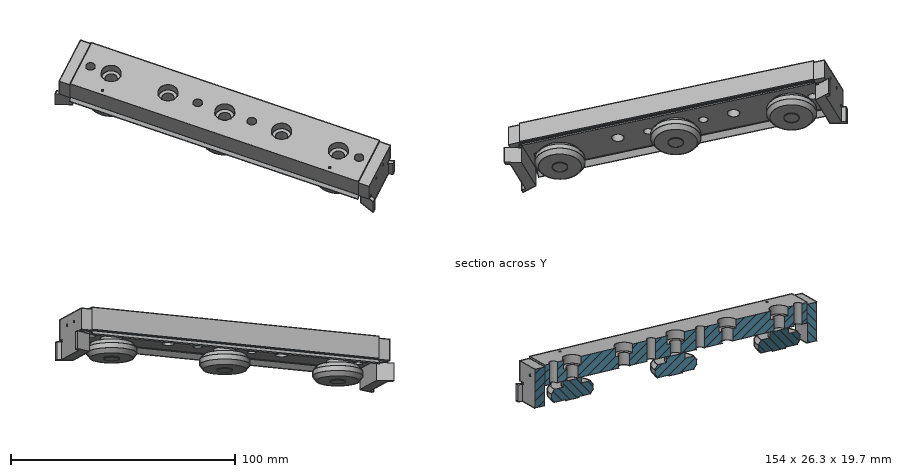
import cadquery as cq

overall_length = 154.0
overall_width = 26.3
overall_height = 19.7

rail_length = 139.5
rail_width = 24.6
rail_height = 10.2
wheel_pitch = 55.0
mount_hole_dia = 5.5
counterbore_dia = 9.0
counterbore_depth = 4.2
mount_hole_xs = [step * wheel_pitch / 2 for step in (-2, -1, 0, 1, 2)]
plain_hole_dia = 4.2
inner_hole_x = 13.1
outer_hole_x = 65.0
pinhole_dia = 1.0
pinhole_depth = 1.5
pinhole_y = -10.0

strip_root_inner_y = 10.5
strip_root_width = 1.0
strip_root_height = 0.5
lip_tip_size = 0.5

cap_face_inset = 2.0
cap_width = 24.6
cap_top_drop = 1.0
core_width = 19.0
slot_top = 10.6
slot_bottom = 11.5
ear_tip_inner_y = 10.5
ear_root_inner_y = 9.9
cap_hole_dia = 1.0
cap_hole_spacing = 7.9
cap_hole_drop = 5.2
cap_hole_depth = 1.5

wheel_dia = 22.5
wheel_face_dia = 19.2
wheel_top = 12.8
wheel_bottom = 19.2
rim_width = 2.3
hub_dia = 10.0
axle_end_dia = 7.0


def make_rail():
    """Block with five counterbored mounting holes, four plain holes and two blind pinholes."""
    rail = cq.Workplane("XY").box(rail_length, rail_width, rail_height, centered=(True, True, False))
    rail = rail.translate((0, 0, -rail_height))
    top = cq.Workplane("XY")
    mount_points = [(x, 0) for x in mount_hole_xs]
    plain_points = [(x, 0) for x in (-outer_hole_x, -inner_hole_x, inner_hole_x, outer_hole_x)]
    pinhole_points = [(-wheel_pitch, pinhole_y), (wheel_pitch, pinhole_y)]
    rail = rail.cut(top.pushPoints(mount_points).circle(mount_hole_dia / 2).extrude(-rail_height))
    rail = rail.cut(top.pushPoints(mount_points).circle(counterbore_dia / 2).extrude(-counterbore_depth))
    rail = rail.cut(top.pushPoints(plain_points).circle(plain_hole_dia / 2).extrude(-rail_height))
    return rail.cut(top.pushPoints(pinhole_points).circle(pinhole_dia / 2).extrude(-pinhole_depth))


def make_strip(side):
    """Strip with a short upright root and a lip running outward and down at 45 degrees."""
    root_outer_y = strip_root_inner_y + strip_root_width
    root_bottom = -rail_height - strip_root_height
    tip_y = overall_width / 2
    tip_z = root_bottom - (tip_y - root_outer_y)
    outline = [
        (strip_root_inner_y, -rail_height),
        (root_outer_y, -rail_height),
        (root_outer_y, root_bottom),
        (tip_y, tip_z),
        (tip_y - lip_tip_size, tip_z - lip_tip_size),
        (strip_root_inner_y, root_bottom),
    ]
    profile = cq.Workplane("YZ").polyline([(side * y, z) for y, z in outline]).close()
    return profile.extrude(rail_length / 2, both=True)


def make_cap(end):
    """Upper plate and flared lower block, joined by a core that leaves a slot on either side."""
    back_x = rail_length / 2
    tip_x = overall_length / 2
    face_x = tip_x - cap_face_inset
    plate_depth = face_x - back_x

    plate = cq.Workplane("XY").workplane(offset=-slot_top)
    plate = plate.center(end * (back_x + face_x) / 2, 0).rect(plate_depth, cap_width)
    plate = plate.extrude(slot_top - cap_top_drop)

    core = cq.Workplane("XY").workplane(offset=-slot_bottom)
    core = core.center(end * (back_x + face_x) / 2, 0).rect(plate_depth, core_width)
    core = core.extrude(slot_bottom - slot_top)

    half_outline = [
        (back_x, core_width / 2),
        (tip_x, cap_width / 2),
        (tip_x, ear_tip_inner_y),
        (face_x, ear_root_inner_y),
    ]
    outline = half_outline + [(x, -y) for x, y in reversed(half_outline)]
    block = cq.Workplane("XY").workplane(offset=-overall_height)
    block = block.polyline([(end * x, y) for x, y in outline]).close()
    block = block.extrude(overall_height - slot_bottom)

    cap_holes = cq.Workplane("YZ").workplane(offset=end * face_x)
    cap_holes = cap_holes.pushPoints([(side * cap_hole_spacing / 2, -cap_hole_drop) for side in (-1, 1)])
    cap_holes = cap_holes.circle(cap_hole_dia / 2).extrude(-end * cap_hole_depth)
    return plate.union(core).union(block).cut(cap_holes)


def make_wheel(x):
    """Wheel with a bevelled rim, a hub reaching the rail above and an axle end below."""
    rim_middle = -(wheel_top + wheel_bottom) / 2
    rim_top = rim_middle + rim_width / 2
    rim_bottom = rim_middle - rim_width / 2
    half_profile = [
        (0, -rail_height),
        (hub_dia / 2, -rail_height),
        (hub_dia / 2, -wheel_top),
        (wheel_face_dia / 2, -wheel_top),
        (wheel_dia / 2, rim_top),
        (wheel_dia / 2, rim_bottom),
        (wheel_face_dia / 2, -wheel_bottom),
        (axle_end_dia / 2, -wheel_bottom),
        (axle_end_dia / 2, -overall_height),
        (0, -overall_height),
    ]
    wheel = cq.Workplane("XZ").polyline(half_profile).close()
    return wheel.revolve(360, (0, 0), (0, 1)).translate((x, 0, 0))


rail = make_rail()
strips = [make_strip(side) for side in (-1, 1)]
caps = [make_cap(end) for end in (-1, 1)]
wheels = [make_wheel(x) for x in (-wheel_pitch, 0, wheel_pitch)]

bodies = [rail, *strips, *caps, *wheels]
result = cq.Compound.makeCompound([body.val() for body in bodies])